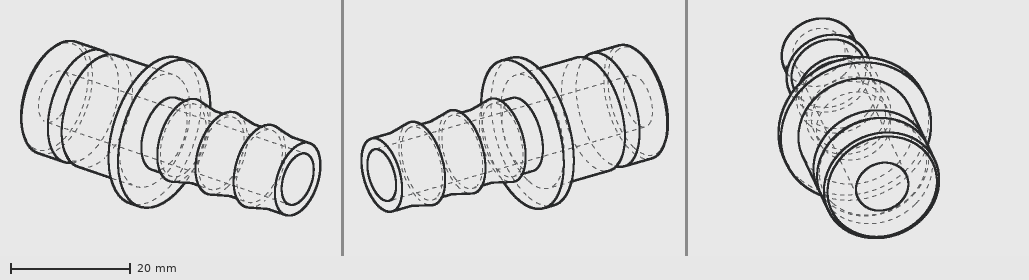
import cadquery as cq

total_length = 51.0

bore_diameter = 9.0

body_diameter = 19.8
end_chamfer = 0.5
groove_start = 6.0
groove_width = 2.9
groove_depth = 0.65

collar_diameter = 25.8
collar_start = 21.0
collar_thickness = 2.0

tail_diameter = 12.75
barb_diameter = 14.5
barb_count = 3
barb_length = 4.0
barb_pitch = 8.0
first_barb_start = 27.0

body_radius = body_diameter / 2
collar_end = collar_start + collar_thickness
axis_start = (0, 0, 0)
axis_end = (1, 0, 0)


def cylinder(start, end, diameter):
    """Solid cylinder on the X axis between two X positions."""
    section = cq.Workplane("YZ", origin=(start, 0, 0)).circle(diameter / 2)
    return section.extrude(end - start)


def plug_body():
    """Chamfered cylinder with a rounded locking groove."""
    groove_end = groove_start + groove_width
    groove_bottom = (groove_start + groove_width / 2, body_radius - groove_depth)
    profile = (
        cq.Workplane("XY")
        .lineTo(0, body_radius - end_chamfer)
        .lineTo(end_chamfer, body_radius)
        .lineTo(groove_start, body_radius)
        .threePointArc(groove_bottom, (groove_end, body_radius))
        .lineTo(collar_start, body_radius)
        .lineTo(collar_start, 0)
        .close()
    )
    return profile.revolve(360, axis_start, axis_end)


def barb(start):
    """Conical barb with a square shoulder facing the collar."""
    profile = (
        cq.Workplane("XY")
        .moveTo(start, 0)
        .lineTo(start, barb_diameter / 2)
        .lineTo(start + barb_length, tail_diameter / 2)
        .lineTo(start + barb_length, 0)
        .close()
    )
    return profile.revolve(360, axis_start, axis_end)


collar = cylinder(collar_start, collar_end, collar_diameter)
tail = cylinder(collar_end, total_length, tail_diameter)
bore = cylinder(0, total_length, bore_diameter)

fitting = plug_body().union(collar).union(tail)
for index in range(barb_count):
    fitting = fitting.union(barb(first_barb_start + index * barb_pitch))

result = fitting.cut(bore)